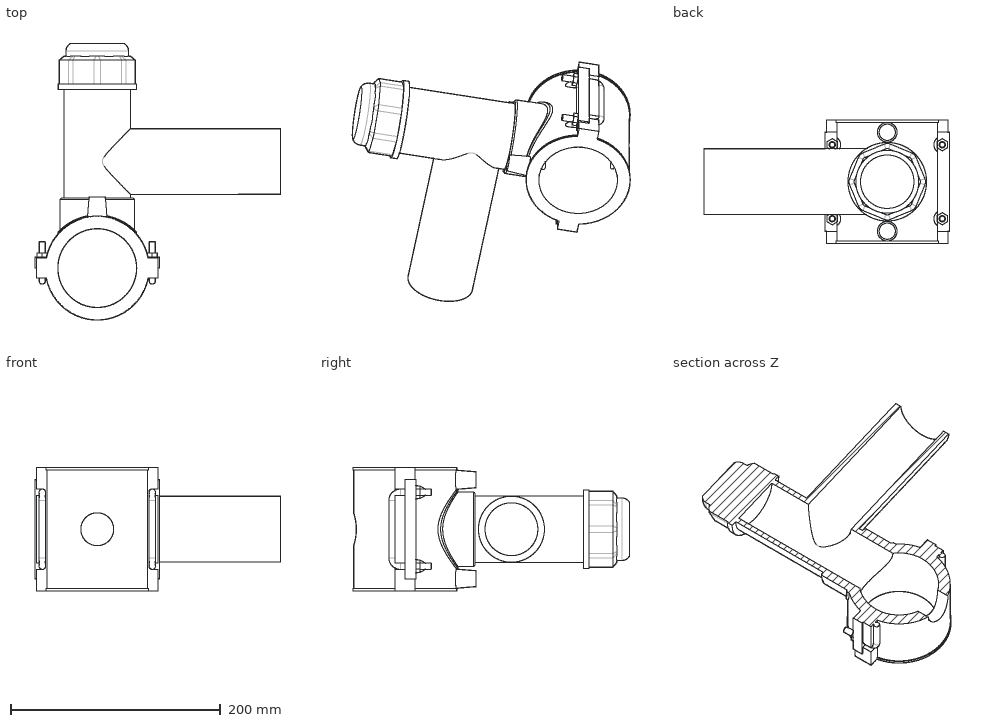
import cadquery as cq
import math

BORE_R = 75 / 2
SHELL_R = 49.0
LIP_R = 49.73
HALF_LENGTH = 59.0
LIP_WIDTH = 2.6
TAP_R = 31.36 / 2

LUG_REACH = 58.0
LUG_HALF_THICKNESS = 9.6
PLATE_THICKNESS = 0.9
PLATE_REACH = 59.5
PLATE_HALF_LENGTH = 47.4

BOLT_X = 52.5
BOLT_Z = 35.3
BOLT_R = 6 / 2
BOLT_END_Y = 25.3
BOLT_BACK_Y = -12.3
BOLT_BEND_R = 8.0
BOLT_TIP_CHAMFER = 0.6
BOLT_SLOT_R = 3.2
NUT_ACROSS_FLATS = 10.0
NUT_HEIGHT = 4.0
NUT_CLEARANCE_R = 8.0
SEAT_Y = LUG_HALF_THICKNESS + PLATE_THICKNESS

PAD_R = 75 / 2
PAD_SURFACE_R = 50.7
COLLAR_R = 71.25 / 2
COLLAR_TOP_Y = 67.0
COLLAR_CHAMFER = 1.5
PIPE_R = 63.75 / 2
PIPE_BORE_R = 52.5 / 2

BRANCH_R = 63 / 2
BRANCH_BORE_R = 50.4 / 2
BRANCH_Y = 101.7
BRANCH_END_X = 175.0

POST_Z = 47.2
POST_TOP_Y = 68.0
POST_TOP_R = 15.5 / 2
POST_BASE_R = 18.6 / 2

FLANGE_R = 75 / 2
FLANGE_Y = 170.3
PIPE_BORE_END_Y = FLANGE_Y
GRIP_Y = 175.9
GRIP_SIDES = 8
GRIP_APOTHEM = 34.3
GRIP_CORNER_R = 8.0
GRIP_TOP_Y = 202.3
GRIP_CHAMFER_LENGTH = 4.8
GRIP_CHAMFER_INSET = 3.8
DOME_R = 60 / 2
DOME_FACE_R = 51 / 2
DOME_START_Y = 207.0
DOME_END_Y = 214.5


def y_cylinder(radius, y_start, y_end, x=0, z=0):
    """Cylinder with its axis along +Y."""
    plane = cq.Plane(origin=(x, y_start, z), xDir=(1, 0, 0), normal=(0, 1, 0))
    return cq.Workplane(plane).circle(radius).extrude(y_end - y_start)


def z_cylinder(radius, z_start, z_end):
    return cq.Workplane("XY", origin=(0, 0, z_start)).circle(radius).extrude(z_end - z_start)


def box(x_range, y_range, z_range):
    """Axis-aligned box from three (low, high) pairs."""
    size = [high - low for low, high in (x_range, y_range, z_range)]
    corner = (x_range[0], y_range[0], z_range[0])
    return cq.Workplane("XY").box(*size, centered=False).translate(corner)


def make_clamp_shell():
    """Sleeve with a raised lip at both ends and a full-length lug on each side."""
    shell = z_cylinder(SHELL_R, -HALF_LENGTH, HALF_LENGTH)
    shell = shell.union(z_cylinder(LIP_R, HALF_LENGTH - LIP_WIDTH, HALF_LENGTH))
    shell = shell.union(z_cylinder(LIP_R, -HALF_LENGTH, LIP_WIDTH - HALF_LENGTH))
    lugs = cq.Workplane("XY").box(2 * LUG_REACH, 2 * LUG_HALF_THICKNESS, 2 * HALF_LENGTH)
    return shell.union(lugs)


def cut_nut_clearances(body):
    """Round recesses that let the nuts sit close to the shell."""
    for x in (-BOLT_X, BOLT_X):
        for z in (-BOLT_Z, BOLT_Z):
            body = body.cut(y_cylinder(NUT_CLEARANCE_R, LUG_HALF_THICKNESS, BOLT_END_Y, x, z))
    return body


def make_collar_and_pipe():
    """Saddle pad, chamfered collar and main pipe up to the cap."""
    pad = y_cylinder(PAD_R, 0, PAD_SURFACE_R).intersect(
        z_cylinder(PAD_SURFACE_R, -PAD_R, PAD_R))
    collar = y_cylinder(COLLAR_R, 0, COLLAR_TOP_Y).faces(">Y").chamfer(COLLAR_CHAMFER)
    pipe = y_cylinder(PIPE_R, 0, FLANGE_Y)
    return pad.union(collar).union(pipe)


def branch_cylinder(radius):
    """Cylinder on the branch axis, from the main pipe axis to the branch end."""
    return cq.Workplane("YZ", origin=(0, BRANCH_Y, 0)).circle(radius).extrude(BRANCH_END_X)


def make_post(z):
    """Tapered post whose root lies inside the shell wall."""
    taper = (POST_BASE_R - POST_TOP_R) / (POST_TOP_Y - SHELL_R)
    root_y = (BORE_R + SHELL_R) / 2
    root_r = POST_TOP_R + taper * (POST_TOP_Y - root_y)
    profile = [(0, root_y), (root_r, root_y), (POST_TOP_R, POST_TOP_Y), (0, POST_TOP_Y)]
    post = cq.Workplane("XY").polyline(profile).close().revolve(360, (0, 0), (0, 1))
    return post.translate((0, 0, z))


def make_grip():
    """Octagonal nut body with rounded corners and a chamfered end."""
    corner_circle = 2 * GRIP_APOTHEM / math.cos(math.pi / GRIP_SIDES)
    plane = cq.Plane(origin=(0, GRIP_Y, 0), xDir=(1, 0, 0), normal=(0, 1, 0))
    grip = cq.Workplane(plane).polygon(GRIP_SIDES, corner_circle).extrude(GRIP_TOP_Y - GRIP_Y)
    grip = grip.edges("|Y").fillet(GRIP_CORNER_R)
    return grip.faces(">Y").chamfer(GRIP_CHAMFER_INSET, GRIP_CHAMFER_LENGTH)


def make_cap():
    """Flange, octagonal grip and domed end."""
    rise = DOME_END_Y - DOME_START_Y
    inset = DOME_R - DOME_FACE_R
    arc_r = (rise ** 2 + inset ** 2) / (2 * inset)
    half_angle = math.asin(rise / arc_r) / 2
    arc_mid = (DOME_R - arc_r * (1 - math.cos(half_angle)),
               DOME_START_Y + arc_r * math.sin(half_angle))
    dome = (cq.Workplane("XY").moveTo(0, GRIP_Y).lineTo(DOME_R, GRIP_Y)
            .lineTo(DOME_R, DOME_START_Y)
            .threePointArc(arc_mid, (DOME_FACE_R, DOME_END_Y))
            .lineTo(0, DOME_END_Y).close().revolve(360, (0, 0), (0, 1)))
    return y_cylinder(FLANGE_R, FLANGE_Y, GRIP_Y).union(make_grip()).union(dome)


def cut_bolt_slots(body):
    """Open slots in the lower half of each lug that take the U-bolt legs."""
    for side in (-1, 1):
        for z in (-BOLT_Z, BOLT_Z):
            outer = sorted((side * BOLT_X, side * LUG_REACH))
            slot = box(outer, (-LUG_HALF_THICKNESS, 0), (z - BOLT_SLOT_R, z + BOLT_SLOT_R))
            slot = slot.union(y_cylinder(BOLT_SLOT_R, -LUG_HALF_THICKNESS, 0, side * BOLT_X, z))
            body = body.cut(slot)
    return body


def make_plate(side):
    """Angle plate over the top and outer face of the upper lug half."""
    reach = sorted((side * BOLT_X, side * PLATE_REACH))
    length = (-PLATE_HALF_LENGTH, PLATE_HALF_LENGTH)
    outer = box(reach, (0, SEAT_Y), length)
    inner = sorted((side * SHELL_R * math.cos(math.asin(SEAT_Y / SHELL_R)), side * BOLT_X))
    return outer.union(box(inner, (LUG_HALF_THICKNESS, SEAT_Y), length))


def make_u_bolt(x):
    """Bolt bent to a U, with both threaded ends pointing to +Y."""
    bend_z = BOLT_Z - BOLT_BEND_R
    bend_y = BOLT_BACK_Y + BOLT_BEND_R
    diagonal = BOLT_BEND_R * math.sqrt(0.5)
    path = (cq.Workplane("YZ", origin=(x, 0, 0))
            .moveTo(BOLT_END_Y, -BOLT_Z).lineTo(bend_y, -BOLT_Z)
            .threePointArc((bend_y - diagonal, -bend_z - diagonal), (BOLT_BACK_Y, -bend_z))
            .lineTo(BOLT_BACK_Y, bend_z)
            .threePointArc((bend_y - diagonal, bend_z + diagonal), (bend_y, BOLT_Z))
            .lineTo(BOLT_END_Y, BOLT_Z))
    start = cq.Workplane("XZ", origin=(x, BOLT_END_Y, -BOLT_Z))
    bolt = start.circle(BOLT_R).sweep(path)
    return bolt.faces(">Y").chamfer(BOLT_TIP_CHAMFER)


def make_nut(x, z):
    plane = cq.Plane(origin=(x, SEAT_Y, z), xDir=(0, 0, 1), normal=(0, 1, 0))
    corner_circle = NUT_ACROSS_FLATS / math.cos(math.pi / 6)
    return cq.Workplane(plane).polygon(6, corner_circle).extrude(NUT_HEIGHT)


def cut_bores(body):
    """Clamp bore, tapping hole in the -Y wall, and the connected pipe bores closed by the cap."""
    body = body.cut(z_cylinder(BORE_R, -HALF_LENGTH, HALF_LENGTH))
    body = body.cut(y_cylinder(TAP_R, -LIP_R, 0))
    body = body.cut(y_cylinder(PIPE_BORE_R, 0, PIPE_BORE_END_Y))
    return body.cut(branch_cylinder(BRANCH_BORE_R))


body = cut_nut_clearances(make_clamp_shell())
body = body.union(make_collar_and_pipe()).union(branch_cylinder(BRANCH_R)).union(make_cap())
for post_z in (-POST_Z, POST_Z):
    body = body.union(make_post(post_z))
body = cut_bores(cut_bolt_slots(body))

for side in (-1, 1):
    body = body.union(make_plate(side)).union(make_u_bolt(side * BOLT_X))
    for nut_z in (-BOLT_Z, BOLT_Z):
        body = body.union(make_nut(side * BOLT_X, nut_z))

result = body